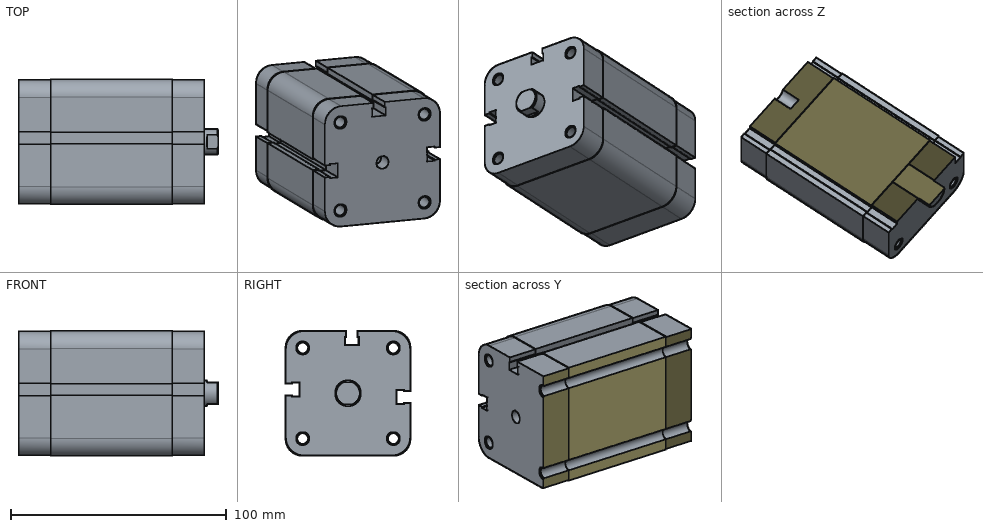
import cadquery as cq

TOTAL_LENGTH = 92.5
ROD_REACH = 6.5
BODY_LENGTH = TOTAL_LENGTH - ROD_REACH
CAP_LENGTH = 14.8
BARREL_LENGTH = BODY_LENGTH - 2 * CAP_LENGTH
BARREL_START = CAP_LENGTH
FRONT_CAP_START = CAP_LENGTH + BARREL_LENGTH

BARREL_SIZE = 58.0
CAP_INSET = 0.26
CORNER_RADIUS = 8.05

SLOT_OFFSET = 1.8
MOUTH_WIDTH = 5.2
MOUTH_DEPTH = 3.1
POCKET_WIDTH = 6.2
SLOT_DEPTH = 6.5
CAP_SLOT_CLEARANCE = 0.3
SLOT_TURNS = (-90, 0, 90)

BOLT_SPACING = 42.0
BOLT_HOLE_DIAMETER = 5.0
BOLT_COUNTERSINK = 0.6

CENTRE_HOLE_DIAMETER = 6.0
CENTRE_HOLE_DEPTH = 9.25

ROD_DIAMETER = 12.0
ROD_CHAMFER = 0.6
FLAT_SPACING = 10.0
FLAT_LENGTH = 5.1
FLAT_RUNOUT = 0.3


def cross_section(start):
    """Plane across the cylinder axis: local x is +Y, local y is +Z, extruding towards +X."""
    return cq.Workplane("YZ", origin=(start, 0, 0))


def slot_cutter(start, length, clearance, turn):
    """One T-slot, modelled on the top side and turned about the cylinder axis."""
    top = BARREL_SIZE / 2
    half_mouth = MOUTH_WIDTH / 2 + clearance
    half_pocket = POCKET_WIDTH / 2 + clearance
    floor = top - SLOT_DEPTH - clearance
    shoulder = top - MOUTH_DEPTH + clearance
    outline = [
        (SLOT_OFFSET - half_mouth, top),
        (SLOT_OFFSET - half_mouth, shoulder),
        (SLOT_OFFSET - half_pocket, shoulder),
        (SLOT_OFFSET - half_pocket, floor),
        (SLOT_OFFSET + half_pocket, floor),
        (SLOT_OFFSET + half_pocket, shoulder),
        (SLOT_OFFSET + half_mouth, shoulder),
        (SLOT_OFFSET + half_mouth, top),
    ]
    cutter = cross_section(start).polyline(outline).close().extrude(length)
    return cutter.rotate((0, 0, 0), (1, 0, 0), turn)


def slotted_block(start, length, inset, slot_clearance):
    """Rounded square length of the cylinder with its slots and corner bolt holes."""
    size = BARREL_SIZE - 2 * inset
    block = cross_section(start).rect(size, size).extrude(length)
    block = block.edges("|X").fillet(CORNER_RADIUS)
    for turn in SLOT_TURNS:
        block = block.cut(slot_cutter(start, length, slot_clearance, turn))
    bolt_holes = (
        cross_section(start)
        .rect(BOLT_SPACING, BOLT_SPACING, forConstruction=True)
        .vertices()
        .circle(BOLT_HOLE_DIAMETER / 2)
        .extrude(length)
    )
    return block.cut(bolt_holes)


def bolt_countersinks(face_x, inward):
    """Cones that widen the bolt holes at an outer cap face; inward is the X direction into the cap."""
    hole_radius = BOLT_HOLE_DIAMETER / 2
    mouth_radius = hole_radius + BOLT_COUNTERSINK
    half_spacing = BOLT_SPACING / 2
    cones = cq.Workplane()
    for y in (-half_spacing, half_spacing):
        for z in (-half_spacing, half_spacing):
            cone = cq.Solid.makeCone(
                mouth_radius, hole_radius, BOLT_COUNTERSINK, cq.Vector(face_x, y, z), cq.Vector(inward, 0, 0)
            )
            cones = cones.add(cone)
    return cones.combine()


def make_barrel():
    return slotted_block(BARREL_START, BARREL_LENGTH, 0, 0)


def make_rear_cap():
    cap = slotted_block(0, CAP_LENGTH, CAP_INSET, CAP_SLOT_CLEARANCE)
    cap = cap.cut(bolt_countersinks(0, 1))
    centre_hole = cross_section(0).circle(CENTRE_HOLE_DIAMETER / 2).extrude(CENTRE_HOLE_DEPTH)
    return cap.cut(centre_hole)


def make_front_cap():
    cap = slotted_block(FRONT_CAP_START, CAP_LENGTH, CAP_INSET, CAP_SLOT_CLEARANCE)
    cap = cap.cut(bolt_countersinks(BODY_LENGTH, -1))
    rod_hole = cross_section(FRONT_CAP_START).circle(ROD_DIAMETER / 2).extrude(CAP_LENGTH)
    return cap.cut(rod_hole)


def make_rod():
    """Rod seated on the barrel, passing through the front cap."""
    rod = cross_section(FRONT_CAP_START).circle(ROD_DIAMETER / 2).extrude(TOTAL_LENGTH - FRONT_CAP_START)
    rod = rod.faces(">X").chamfer(ROD_CHAMFER)
    rod_radius = ROD_DIAMETER / 2
    flat_height = FLAT_SPACING / 2
    flat_start = TOTAL_LENGTH - FLAT_LENGTH
    for side in (-1, 1):
        flat_cutter = (
            cq.Workplane("XZ")
            .moveTo(flat_start, side * flat_height)
            .lineTo(TOTAL_LENGTH, side * flat_height)
            .lineTo(TOTAL_LENGTH, side * rod_radius)
            .lineTo(flat_start - FLAT_RUNOUT, side * rod_radius)
            .close()
            .extrude(rod_radius, both=True)
        )
        rod = rod.cut(flat_cutter)
    return rod


barrel = make_barrel()
rear_cap = make_rear_cap()
front_cap = make_front_cap()
rod = make_rod()

result = cq.Compound.makeCompound([barrel.val(), rear_cap.val(), front_cap.val(), rod.val()])